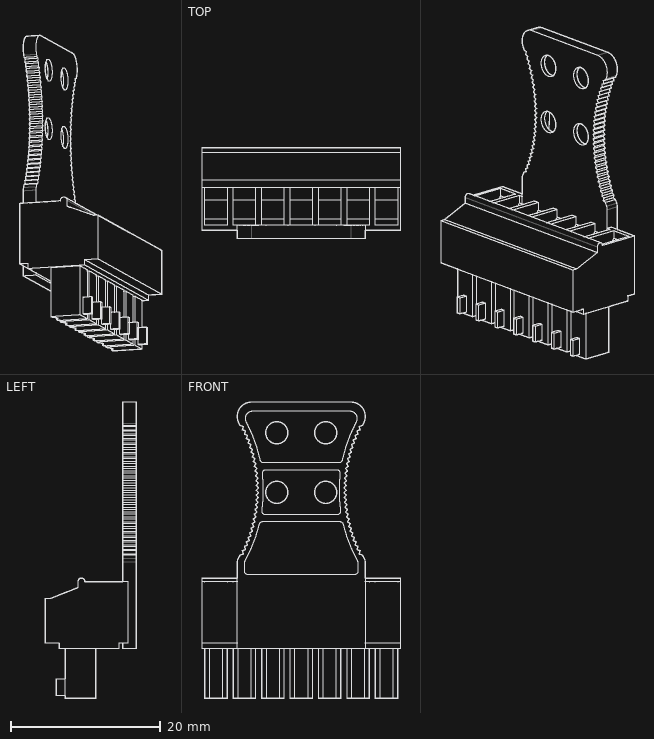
import cadquery as cq
import math


contact_count = 7
housing_width = 26.67
contact_pitch = housing_width / contact_count
housing_front = 1.1
housing_back = 12.2
foot_front = 2.3
foot_back = 10.35
foot_bottom = 6.68
block_bottom = 7.4
block_top = 15.65

ridge_radius = 0.48
ridge_crest = 7.35
roof_slope_top = 14.85
roof_slope_bottom = 13.4
back_ledge = 0.68

pocket_width = 3.02
pocket_back = 6.85
pocket_depth = 2.25
back_slope_run = 1.63
back_slope_drop = 1.95
front_slope_run = 0.85
front_slope_rise = 1.2

pin_width = pocket_width
pin_front = 5.4
pin_back = 9.55
groove_width = 1.75
groove_radius = 1.1
key_width = 0.55
key_depth = 1.2
key_bottom = 0.35
key_top = 2.62

grip_width = 17.17
grip_thickness = 1.83
grip_top = 39.75
waist_z = 27.9
waist_half_width = 6.05
waist_radius = 18.5
corner_radius = 1.95
shoulder_radius = 0.95

tooth_angle = 2.0
tooth_count = 28
tooth_depth = 0.3

rim = 0.95
recess_depth = 1.2
recess_fillet = 0.48
top_recess_fillet = 1.0
lower_recess = (16.6, 23.7)
middle_recess = (24.65, 30.65)
upper_recess = (31.6, 38.5)

hole_diameter = 2.95
hole_spacing = 6.55
hole_heights = (27.63, 35.6)

half_grip = grip_width / 2
waist_x = waist_half_width + waist_radius
pocket_floor = block_top - pocket_depth
contact_places = [(i - (contact_count - 1) / 2) * contact_pitch for i in range(contact_count)]


def box(x_range, y_range, z_range):
    """Box between the given limits."""
    low, high = zip(x_range, y_range, z_range)
    size = [b - a for a, b in zip(low, high)]
    return cq.Workplane("XY").box(*size, centered=False).translate(low)


def around(x, width):
    """Limits of a width centred on x."""
    return (x - width / 2, x + width / 2)


def extrude_side_profile(profile, x, width):
    """Extrude a closed YZ profile over a width centred on x."""
    return profile.extrude(width / 2, both=True).translate((x, 0, 0))



def housing_block():
    """Block, foot, sloped roof and ridge as one profile along the whole width."""
    ridge_front = ridge_crest - ridge_radius
    ridge_back = ridge_crest + ridge_radius
    profile = (
        cq.Workplane("YZ")
        .moveTo(foot_front, foot_bottom)
        .lineTo(foot_front, block_bottom)
        .lineTo(housing_front, block_bottom)
        .lineTo(housing_front, block_top)
        .lineTo(ridge_front, block_top)
        .threePointArc((ridge_crest, block_top + ridge_radius), (ridge_back, block_top))
        .lineTo(ridge_back, roof_slope_top)
        .lineTo(housing_back - back_ledge, roof_slope_bottom)
        .lineTo(housing_back, roof_slope_bottom)
        .lineTo(housing_back, block_bottom)
        .lineTo(foot_back, block_bottom)
        .lineTo(foot_back, foot_bottom)
        .close()
    )
    return extrude_side_profile(profile, 0, housing_width)


def wire_pocket(x):
    """Pocket with a flat floor, a back wall that slopes in and a sloped lower front wall."""
    profile = (
        cq.Workplane("YZ")
        .moveTo(pocket_back, block_top)
        .lineTo(pocket_back - back_slope_run, block_top - back_slope_drop)
        .lineTo(pocket_back - back_slope_run, pocket_floor)
        .lineTo(grip_thickness + front_slope_run, pocket_floor)
        .lineTo(grip_thickness, pocket_floor + front_slope_rise)
        .lineTo(grip_thickness, block_top)
        .close()
    )
    return extrude_side_profile(profile, x, pocket_width)


def pin(x):
    """Square pin with a round groove down its front and a narrow key at its back."""
    half_chord = groove_width / 2
    groove_y = pin_front - math.sqrt(groove_radius**2 - half_chord**2)
    body = box(around(x, pin_width), (pin_front, pin_back), (0, foot_bottom))
    key = box(around(x, key_width), (pin_back, pin_back + key_depth), (key_bottom, key_top))
    groove = cq.Workplane("XY").center(x, groove_y).circle(groove_radius).extrude(foot_bottom)
    return body.union(key).cut(groove)


def make_housing():
    """Housing with its pins, pockets and the slot in its front wall that holds the grip."""
    housing = housing_block()
    for x in contact_places:
        housing = housing.cut(wire_pocket(x)).union(pin(x))
    grip_slot = box((-half_grip, half_grip), (housing_front, grip_thickness), (block_bottom, block_top))
    return housing.cut(grip_slot)



def waist_point(radius, degrees):
    """Point at a radius from the right waist centre, at an angle above its middle height."""
    angle = math.radians(degrees)
    return (waist_x - radius * math.cos(angle), waist_z + radius * math.sin(angle))


def arc_middle(center, radius, start_degrees, end_degrees):
    """Point halfway along an arc about the given centre."""
    angle = math.radians((start_degrees + end_degrees) / 2)
    return (center[0] + radius * math.cos(angle), center[1] + radius * math.sin(angle))


def grip_half():
    """Right half of the grip plate: shoulder, toothed waist and top corner."""
    shoulder_x = half_grip - shoulder_radius
    shoulder_angle = -math.degrees(math.acos((waist_x - shoulder_x) / (waist_radius + shoulder_radius)))
    shoulder_z = waist_point(waist_radius + shoulder_radius, shoulder_angle)[1]
    corner_z = grip_top - corner_radius
    corner_angle = math.degrees(math.asin((corner_z - waist_z) / (waist_radius + corner_radius)))
    corner_x = waist_point(waist_radius + corner_radius, corner_angle)[0]

    first_tip = -tooth_count * tooth_angle / 2
    outline = (
        cq.Workplane("XZ")
        .moveTo(0, foot_bottom)
        .lineTo(half_grip, foot_bottom)
        .lineTo(half_grip, shoulder_z)
        .threePointArc(
            arc_middle((shoulder_x, shoulder_z), shoulder_radius, 0, -shoulder_angle),
            waist_point(waist_radius, shoulder_angle),
        )
        .threePointArc(
            waist_point(waist_radius, (shoulder_angle + first_tip) / 2),
            waist_point(waist_radius, first_tip),
        )
    )
    for i in range(tooth_count):
        tip = first_tip + i * tooth_angle
        outline = outline.lineTo(*waist_point(waist_radius + tooth_depth, tip + tooth_angle / 2))
        outline = outline.lineTo(*waist_point(waist_radius, tip + tooth_angle))
    outline = (
        outline.threePointArc(
            waist_point(waist_radius, (corner_angle - first_tip) / 2),
            waist_point(waist_radius, corner_angle),
        )
        .threePointArc(
            arc_middle((corner_x, corner_z), corner_radius, -corner_angle, 90),
            (corner_x, grip_top),
        )
        .lineTo(0, grip_top)
        .close()
    )
    return outline.extrude(-grip_thickness)


def recess_blank(z_range, width):
    """Recess with sharp corners, no wider than given, whose sides keep the rim's width from the waists."""
    blank = box(around(0, width), (0, recess_depth), z_range)
    waists = (
        cq.Workplane("XZ")
        .pushPoints([(-waist_x, waist_z), (waist_x, waist_z)])
        .circle(waist_radius + rim)
        .extrude(-recess_depth)
    )
    return blank.cut(waists)


def round_corners(recess, top_fillet):
    """Round the bottom and top corners of a recess."""
    recess = recess.faces("<Z").edges("|Y").fillet(recess_fillet)
    return recess.faces(">Z").edges("|Y").fillet(top_fillet)


def make_lower_recess():
    """Lowest recess, also rounded where its upright sides turn into the waist arcs."""
    blank = recess_blank(lower_recess, grip_width - 2 * rim)
    blank = blank.edges("|Y exc (<Z or >Z)").fillet(shoulder_radius)
    return round_corners(blank, recess_fillet)


def grip_holes():
    """Two rows of two holes through the grip."""
    places = [(x, z) for x in around(0, hole_spacing) for z in hole_heights]
    return cq.Workplane("XZ").pushPoints(places).circle(hole_diameter / 2).extrude(-grip_thickness)


def make_grip():
    """Grip plate with its recesses and holes."""
    right_half = grip_half()
    grip = right_half.union(right_half.mirror("YZ")).clean()
    grip = grip.cut(make_lower_recess())
    grip = grip.cut(round_corners(recess_blank(middle_recess, grip_width), recess_fillet))
    grip = grip.cut(round_corners(recess_blank(upper_recess, grip_width), top_recess_fillet))
    return grip.cut(grip_holes())


housing = make_housing()
grip = make_grip()
result = cq.Compound.makeCompound([housing.solids().val(), grip.solids().val()])